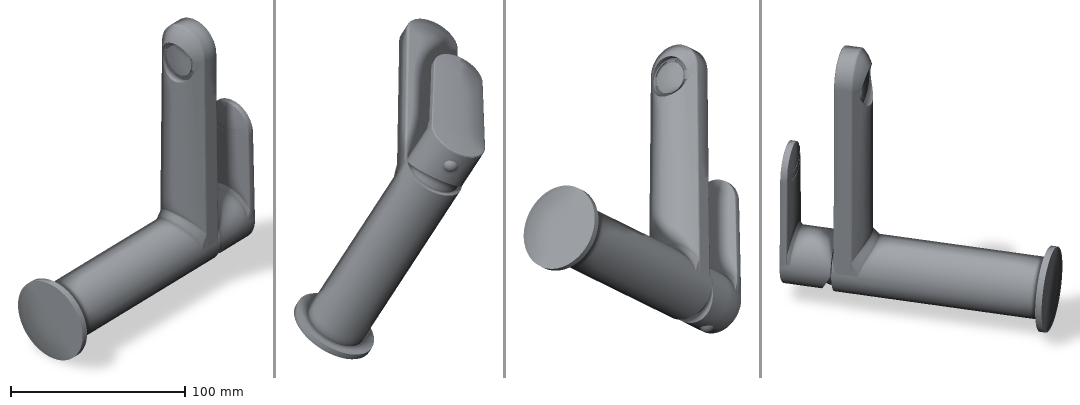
import cadquery as cq
import math

tolerance = 0.03

overall_height = 171
flange_radius = 25.0
flange_thickness = 3.8
body_radius = 18.1
body_length = 126.0

spout_bottom_half_width = 18.0
spout_top_half_width = 16.5
spout_front_y = 106.4
spout_crown_front = 7.9
spout_crown_back = 1.2
spout_corner = 1.4
spout_end_z = overall_height - flange_radius - spout_top_half_width
spout_root_chamfer = 3.8

outlet_z = 124.7
outlet_radius = 12.3
outlet_floor_y = 111.2
outlet_disc_radius = 9.4
outlet_disc_height = 0.9
outlet_slot_outer_radius = 11.5
outlet_slot_depth = 0.7
outlet_spoke_width = 5.5

boss_base_radius = 15.5
boss_tip_radius = 13.2
boss_length = 8.5

handle_back_y = 158.0
handle_front_y = 151.0
handle_hub_radius = 17.5
handle_bottom_half_width = 17.3
handle_top_half_width = 15.7
handle_end_z = 59.3
handle_crown_front = 1.5
handle_crown_back = 1.2
handle_corner = 0.7
handle_root_chamfer = 1.7
hub_gap = 0.7
hub_start_y = body_length + hub_gap
hub_relief_length = 8.2

rest_center_z = 83.8
rest_radii = (28.4, 23.5)
rest_step = 0.2

button_y = 146.7
button_radius = 4.0
button_height = 2.2


def y_cylinder(radius, start_y, end_y, z=0):
    """Cylinder along Y."""
    return (
        cq.Workplane("XZ", origin=(0, start_y, z))
        .circle(radius)
        .extrude(start_y - end_y)
    )


def crown_drop(half, crown):
    """Drop of a circular crown at half of its half-width."""
    radius = (half**2 + crown**2) / (2 * crown)
    return radius - math.sqrt(radius**2 - (half / 2) ** 2)


def crowned_bar(front_y, back_y, crown_front, crown_back, bottom_half, top_half, end_z, round_foot):
    """Upright bar that tapers toward its round top, with arched front and back faces."""
    front_edge_y = front_y + crown_front
    back_edge_y = back_y - crown_back

    def section(z, half):
        return (
            cq.Workplane("XY", origin=(0, 0, z))
            .moveTo(-half, front_edge_y)
            .threePointArc((0, front_y), (half, front_edge_y))
            .lineTo(half, back_edge_y)
            .threePointArc((0, back_y), (-half, back_edge_y))
            .close()
            .val()
        )

    def round_end(z, half, axis_direction):
        """Half disc with crowned faces, turned from the half section about the Y direction."""
        front_mid_y = front_y + crown_drop(half, crown_front)
        back_mid_y = back_y - crown_drop(half, crown_back)
        return (
            cq.Workplane("XY", origin=(0, 0, z))
            .moveTo(0, front_y)
            .threePointArc((half / 2, front_mid_y), (half, front_edge_y))
            .lineTo(half, back_edge_y)
            .threePointArc((half / 2, back_mid_y), (0, back_y))
            .close()
            .revolve(180, (0, 0), (0, axis_direction))
        )

    shaft = cq.Solid.makeLoft([section(0, bottom_half), section(end_z, top_half)], True)
    bar = cq.Workplane(shaft).union(round_end(end_z, top_half, -1))
    if round_foot:
        bar = bar.union(round_end(0, bottom_half, 1))
    return bar


def root_wedge(tube, bar, tube_radius, front_y, crown_front, size):
    """Sloped wedge that fills the corner where the arched front of a bar rises from a tube."""

    def is_root(edge):
        box = edge.BoundingBox()
        on_front = front_y - tolerance < box.ymin and box.ymax < front_y + crown_front + tolerance
        return on_front and box.zmin > tolerance and box.zmax < tube_radius + tolerance

    joined = tube.union(bar)
    chamfered = joined.newObject(joined.edges().filter(is_root).vals()).chamfer(size)
    return chamfered.cut(joined)


def round_rim(part, rim_y, radius):
    """Fillet the edges that lie in the plane at rim_y."""

    def is_rim(edge):
        box = edge.BoundingBox()
        return rim_y - tolerance < box.ymin and box.ymax < rim_y + tolerance

    return part.newObject(part.edges().filter(is_rim).vals()).fillet(radius)


def outlet_recess():
    """Round pocket that leaves a raised disc and four arc slots around it."""
    recess = y_cylinder(outlet_radius, spout_front_y, outlet_floor_y, outlet_z)
    disc = y_cylinder(
        outlet_disc_radius, outlet_floor_y - outlet_disc_height, outlet_floor_y, outlet_z
    )
    slot_end_y = outlet_floor_y + outlet_slot_depth
    slots = y_cylinder(outlet_slot_outer_radius, outlet_floor_y, slot_end_y, outlet_z)
    slots = slots.cut(y_cylinder(outlet_disc_radius, outlet_floor_y, slot_end_y, outlet_z))
    spoke_length = 2 * outlet_radius
    for size_x, size_z in ((outlet_spoke_width, spoke_length), (spoke_length, outlet_spoke_width)):
        spoke = cq.Workplane(
            "XY", origin=(0, outlet_floor_y + outlet_slot_depth / 2, outlet_z)
        ).box(size_x, outlet_slot_depth, size_z)
        slots = slots.cut(spoke)
    return recess.cut(disc).union(slots)


def boss():
    """Cone on the back of the body, and equally the recess for it in the hub."""
    return cq.Workplane(
        cq.Solid.makeCone(
            boss_base_radius,
            boss_tip_radius,
            boss_length,
            cq.Vector(0, body_length, 0),
            cq.Vector(0, 1, 0),
        )
    )


def make_body():
    tube = y_cylinder(body_radius, 0, body_length)
    spout = crowned_bar(
        spout_front_y,
        body_length,
        spout_crown_front,
        spout_crown_back,
        spout_bottom_half_width,
        spout_top_half_width,
        spout_end_z,
        round_foot=False,
    )
    wedge = root_wedge(
        tube, spout, body_radius, spout_front_y, spout_crown_front, spout_root_chamfer
    )
    spout = round_rim(spout, spout_front_y + spout_crown_front, spout_corner)
    spout = round_rim(spout, body_length - spout_crown_back, spout_corner)
    body = tube.union(spout).union(wedge)
    body = body.union(y_cylinder(flange_radius, 0, flange_thickness))
    return body.cut(outlet_recess()).union(boss())


def make_handle():
    lever = crowned_bar(
        handle_front_y,
        handle_back_y,
        handle_crown_front,
        handle_crown_back,
        handle_bottom_half_width,
        handle_top_half_width,
        handle_end_z,
        round_foot=True,
    )
    lever_back_edge_y = handle_back_y - handle_crown_back
    hub = y_cylinder(handle_hub_radius, hub_start_y, lever_back_edge_y - handle_corner)
    wedge = root_wedge(
        hub, lever, handle_hub_radius, handle_front_y, handle_crown_front, handle_root_chamfer
    )
    rounded = round_rim(lever, handle_front_y + handle_crown_front, handle_corner)
    rounded = round_rim(rounded, lever_back_edge_y, handle_corner)
    handle = hub.union(rounded).union(wedge)

    for level, radius in enumerate(rest_radii, start=1):
        disc = y_cylinder(radius, handle_front_y, lever_back_edge_y, rest_center_z)
        handle = handle.cut(disc.cut(lever.translate((0, level * rest_step, 0))))

    relief = (
        cq.Workplane("YZ")
        .polyline(
            [
                (hub_start_y, 0),
                (hub_start_y, -handle_hub_radius),
                (hub_start_y + hub_relief_length, -handle_hub_radius),
            ]
        )
        .close()
        .extrude(handle_hub_radius, both=True)
    )
    handle = handle.cut(relief)

    ball_radius = (button_radius**2 + button_height**2) / (2 * button_height)
    ball_z = ball_radius - button_height - handle_hub_radius
    button = cq.Workplane("XY", origin=(0, button_y, ball_z)).sphere(ball_radius)
    return handle.union(button).cut(boss())


body = make_body()
handle = make_handle()
result = cq.Compound.makeCompound([body.solids().val(), handle.solids().val()])